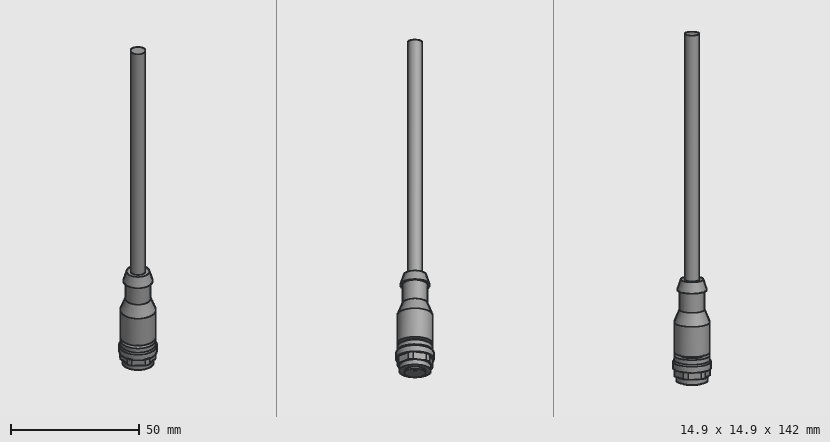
import cadquery as cq
import math

TOTAL_HEIGHT = 142.0
FACE_Z = 0.4
NUT_BOTTOM_Z = 1.3
FLATS_BOTTOM_Z = 3.4
FLANGE_BOTTOM_Z = 6.4
FLANGE_TOP_Z = 9.0
COLLAR_BOTTOM_Z = 9.7
NUT_TOP_Z = 11.5
GRIP_BOTTOM_Z = 12.8
GRIP_TOP_Z = 25.0
NECK_BOTTOM_Z = 30.1
NECK_TOP_Z = 38.0
BOOT_TOP_Z = 42.3

CABLE_DIAMETER = 5.8
BOOT_TOP_DIAMETER = 9.0
BOOT_RIM_DIAMETER = 11.6
NECK_DIAMETER = 10.0
GRIP_DIAMETER = 14.0
THROAT_TOP_DIAMETER = 10.0
THROAT_BOTTOM_DIAMETER = 9.0
CARRIER_DIAMETER = 8.2
COLLAR_DIAMETER = 14.0
FLANGE_DIAMETER = 14.9
FLATS_DIAMETER = 14.0
NUT_TIP_DIAMETER = 12.5

FLAT_COUNT = 6
ACROSS_FLATS = 13.0
FIRST_FLAT_ANGLE = 15.0

KEY_WIDTH = 1.3
KEY_THICKNESS = 0.4
KEY_RADIUS = 3.3
KEY_ANGLE = -60.0


def cylinder(diameter, bottom, top):
    """Round bar on the Z axis between two heights."""
    return cq.Workplane("XY").workplane(offset=bottom).circle(diameter / 2).extrude(top - bottom)


def turned(stations):
    """Solid of revolution about Z through (diameter, height) stations, closed along the axis."""
    profile = [(diameter / 2, height) for diameter, height in stations]
    bottom = stations[0][1]
    top = stations[-1][1]
    outline = cq.Workplane("XZ").polyline([(0, bottom), *profile, (0, top)]).close()
    return outline.revolve(360, (0, 0, 0), (0, 1, 0))


def make_cable():
    """Plain round cable, standing on the bottom of its seat in the boot."""
    return cylinder(CABLE_DIAMETER, NECK_BOTTOM_Z, TOTAL_HEIGHT)


def make_coding_key():
    """Small radial key that stands out below the mating face."""
    key = cq.Workplane("XY").box(KEY_THICKNESS, KEY_WIDTH, FACE_Z, centered=(True, True, False))
    return key.translate((KEY_RADIUS, 0, 0)).rotate((0, 0, 0), (0, 0, 1), KEY_ANGLE)


def make_housing():
    """Moulded grip with its boot, throat and contact carrier, bored for the cable."""
    body = turned([
        (CARRIER_DIAMETER, FACE_Z),
        (CARRIER_DIAMETER, NUT_TOP_Z),
        (THROAT_BOTTOM_DIAMETER, NUT_TOP_Z),
        (THROAT_TOP_DIAMETER, GRIP_BOTTOM_Z),
        (GRIP_DIAMETER, GRIP_BOTTOM_Z),
        (GRIP_DIAMETER, GRIP_TOP_Z),
        (NECK_DIAMETER, NECK_BOTTOM_Z),
        (NECK_DIAMETER, NECK_TOP_Z),
        (BOOT_RIM_DIAMETER, NECK_TOP_Z),
        (BOOT_TOP_DIAMETER, BOOT_TOP_Z),
    ])
    cable_seat = cylinder(CABLE_DIAMETER, NECK_BOTTOM_Z, BOOT_TOP_Z)
    return body.union(make_coding_key()).cut(cable_seat)


def cut_wrench_flats(nut):
    """Flatten the band below the flange on evenly spaced sides."""
    band_height = FLANGE_BOTTOM_Z - FLATS_BOTTOM_Z
    hexagon_corners = ACROSS_FLATS / math.cos(math.pi / FLAT_COUNT)
    hexagon = cq.Workplane("XY").workplane(offset=FLATS_BOTTOM_Z)
    hexagon = hexagon.polygon(FLAT_COUNT, hexagon_corners).extrude(band_height)
    corner_to_flat = 180 / FLAT_COUNT
    hexagon = hexagon.rotate((0, 0, 0), (0, 0, 1), FIRST_FLAT_ANGLE - corner_to_flat)
    band = cylinder(FLATS_DIAMETER, FLATS_BOTTOM_Z, FLANGE_BOTTOM_Z)
    return nut.cut(band.cut(hexagon))


def make_nut():
    """Coupling nut around the contact carrier."""
    nut = turned([
        (NUT_TIP_DIAMETER, NUT_BOTTOM_Z),
        (NUT_TIP_DIAMETER, FLATS_BOTTOM_Z),
        (FLATS_DIAMETER, FLATS_BOTTOM_Z),
        (FLATS_DIAMETER, FLANGE_BOTTOM_Z),
        (FLANGE_DIAMETER, FLANGE_BOTTOM_Z),
        (FLANGE_DIAMETER, FLANGE_TOP_Z),
        (COLLAR_DIAMETER, COLLAR_BOTTOM_Z),
        (COLLAR_DIAMETER, NUT_TOP_Z),
    ])
    bore = cylinder(CARRIER_DIAMETER, NUT_BOTTOM_Z, NUT_TOP_Z)
    return cut_wrench_flats(nut).cut(bore)


cable = make_cable()
housing = make_housing()
nut = make_nut()

result = cq.Compound.makeCompound([cable.val(), housing.val(), nut.val()])